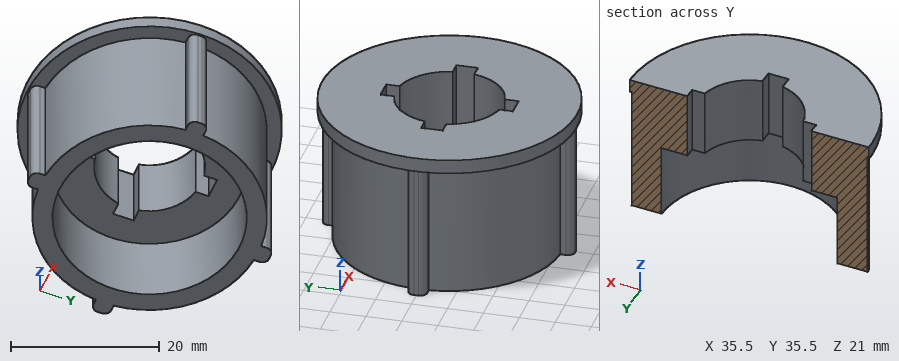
import cadquery as cq

flange_diameter = 35.5
total_height = 21.0
flange_thickness = 2.0
body_diameter = 31.5

rib_tip_radius = 17.5
rib_width = 2.6
rib_edge_radius = 1.0

bore_diameter = 14.9
keyway_span = 18.4
keyway_width = 2.98
cavity_diameter = 26.1
web_thickness = 10.0

body_height = total_height - flange_thickness
cavity_depth = total_height - web_thickness


def flanged_body():
    """Cylinder standing on Z = 0 with a flange at its top."""
    body = cq.Workplane("XY").circle(body_diameter / 2).extrude(body_height)
    flange = (
        cq.Workplane("XY", origin=(0, 0, body_height))
        .circle(flange_diameter / 2)
        .extrude(flange_thickness)
    )
    return body.union(flange)


def ribs():
    """Four vertical ribs with rounded outer edges, as two crossing bars."""
    bar = (
        cq.Workplane("XY")
        .rect(2 * rib_tip_radius, rib_width)
        .extrude(body_height)
        .edges("|Z")
        .fillet(rib_edge_radius)
    )
    return bar.union(bar.rotate((0, 0, 0), (0, 0, 1), 90))


def keyed_bore():
    """Round bore with four square keyways."""
    bore = cq.Workplane("XY").circle(bore_diameter / 2).extrude(total_height)
    keyways = cq.Workplane("XY").rect(keyway_span, keyway_width).extrude(total_height)
    crossing_keyways = keyways.rotate((0, 0, 0), (0, 0, 1), 90)
    return bore.union(keyways).union(crossing_keyways)


def cavity():
    """Wide round recess open at the bottom."""
    return cq.Workplane("XY").circle(cavity_diameter / 2).extrude(cavity_depth)


result = flanged_body().union(ribs()).cut(keyed_bore()).cut(cavity())